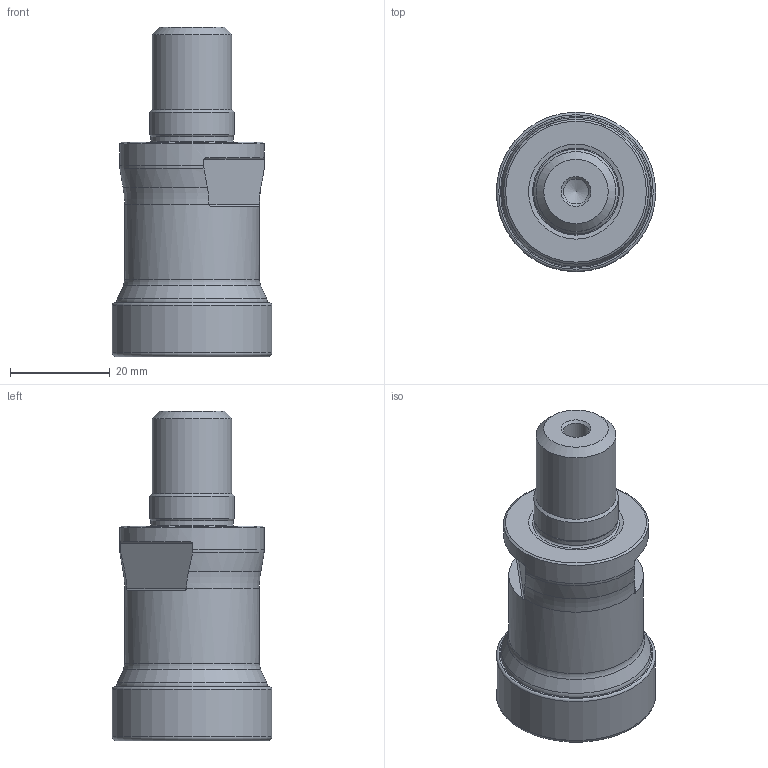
import cadquery as cq
import math

head_radius = 15.965
head_top_z = 10.8
head_bottom_round = 0.8
head_top_round = 0.5

shoulder_radius = 30.23 / 2
shoulder_angle = math.radians(24.5)
shoulder_round = 2.0
shoulder_fillet = 3.0

body_radius = 27.0 / 2
flare_angle = math.radians(10)
flare_start_z = 30.5
flare_fillet = 20.0
flare_round = 3.5

collar_radius = 29.0 / 2
collar_top_z = 43.0
collar_chamfer_width = 0.4
collar_chamfer_height = 0.3

undercut_outer_radius = 9.5
undercut_depth = 0.2
undercut_fillet = 0.4
neck_radius = 16.6 / 2
neck_top_z = 44.1

pilot_radius = 17.0 / 2
pilot_bottom_z = 44.45
pilot_top_z = 48.95
shank_start_z = 49.45
shank_radius = 16.0 / 2
shank_chamfer = 1.55
total_height = 66.0

hole_radius = 5.0 / 2
hole_depth = 12.0
hole_chamfer = 0.5
drill_half_angle = math.radians(65)

across_flats = 22.0
flat_direction = -40.0
flat_bottom_z = 30.05
flat_top_z = 39.85
flat_corner_fillet = 0.4
cutter_size = 60.0


def arc_on_slope(radius, angle):
    """Radial and axial extent of an arc turning from the axis direction to a slope."""
    return radius * (1 - math.cos(angle)), radius * math.sin(angle)


def point_on_arc(center_r, center_z, radius, angle):
    """Point of an arc about the given center, at an angle measured from the outward radial direction."""
    return center_r + radius * math.cos(angle), center_z + radius * math.sin(angle)


def turned_body():
    """Revolve the outer contour around Z."""
    rim_dr, rim_dz = arc_on_slope(shoulder_round, shoulder_angle)
    cone_bottom = (shoulder_radius - rim_dr, head_top_z + rim_dz)
    fillet_dr, fillet_dz = arc_on_slope(shoulder_fillet, shoulder_angle)
    cone_top_r = body_radius + fillet_dr
    cone_height = (cone_bottom[0] - cone_top_r) / math.tan(shoulder_angle)
    cone_top = (cone_top_r, cone_bottom[1] + cone_height)
    body_start_z = cone_top[1] + fillet_dz
    rim_middle = point_on_arc(
        shoulder_radius - shoulder_round, head_top_z, shoulder_round, shoulder_angle / 2
    )
    shoulder_fillet_middle = point_on_arc(
        body_radius + shoulder_fillet, body_start_z, shoulder_fillet, math.pi + shoulder_angle / 2
    )

    flare_dr, flare_dz = arc_on_slope(flare_fillet, flare_angle)
    flare_bottom = (body_radius + flare_dr, flare_start_z + flare_dz)
    edge_dr, edge_dz = arc_on_slope(flare_round, flare_angle)
    flare_top_r = collar_radius - edge_dr
    flare_height = (flare_top_r - flare_bottom[0]) / math.tan(flare_angle)
    flare_top = (flare_top_r, flare_bottom[1] + flare_height)
    collar_start_z = flare_top[1] + edge_dz
    flare_fillet_middle = point_on_arc(
        body_radius + flare_fillet, flare_start_z, flare_fillet, math.pi - flare_angle / 2
    )
    flare_round_middle = point_on_arc(
        collar_radius - flare_round, collar_start_z, flare_round, -flare_angle / 2
    )

    eighth_turn = math.pi / 4
    bottom_round_middle = point_on_arc(
        head_radius - head_bottom_round, head_bottom_round, head_bottom_round, -eighth_turn
    )
    top_round_start_z = head_top_z - head_top_round
    top_round_middle = point_on_arc(
        head_radius - head_top_round, top_round_start_z, head_top_round, eighth_turn
    )
    undercut_z = collar_top_z - undercut_depth
    undercut_inner_r = neck_radius + undercut_fillet
    neck_start_z = undercut_z + undercut_fillet
    undercut_middle = point_on_arc(
        undercut_inner_r, neck_start_z, undercut_fillet, math.pi + eighth_turn
    )

    contour = (
        cq.Workplane("XZ")
        .moveTo(0, 0)
        .lineTo(head_radius - head_bottom_round, 0)
        .threePointArc(bottom_round_middle, (head_radius, head_bottom_round))
        .lineTo(head_radius, top_round_start_z)
        .threePointArc(top_round_middle, (head_radius - head_top_round, head_top_z))
        .lineTo(shoulder_radius, head_top_z)
        .threePointArc(rim_middle, cone_bottom)
        .lineTo(*cone_top)
        .threePointArc(shoulder_fillet_middle, (body_radius, body_start_z))
        .lineTo(body_radius, flare_start_z)
        .threePointArc(flare_fillet_middle, flare_bottom)
        .lineTo(*flare_top)
        .threePointArc(flare_round_middle, (collar_radius, collar_start_z))
        .lineTo(collar_radius, collar_top_z - collar_chamfer_height)
        .lineTo(collar_radius - collar_chamfer_width, collar_top_z)
        .lineTo(undercut_outer_radius, collar_top_z)
        .lineTo(undercut_inner_r, undercut_z)
        .threePointArc(undercut_middle, (neck_radius, neck_start_z))
        .lineTo(neck_radius, neck_top_z)
        .lineTo(pilot_radius, pilot_bottom_z)
        .lineTo(pilot_radius, pilot_top_z)
        .lineTo(shank_radius, shank_start_z)
        .lineTo(shank_radius, total_height - shank_chamfer)
        .lineTo(shank_radius - shank_chamfer, total_height)
        .lineTo(0, total_height)
        .close()
    )
    return contour.revolve(360, (0, 0, 0), (0, 1, 0))


def center_hole():
    """Blind drilled hole with a chamfered mouth and a conical bottom."""
    floor_z = total_height - hole_depth
    tip_z = floor_z - hole_radius / math.tan(drill_half_angle)
    section = (
        cq.Workplane("XZ")
        .moveTo(0, total_height)
        .lineTo(hole_radius + hole_chamfer, total_height)
        .lineTo(hole_radius, total_height - hole_chamfer)
        .lineTo(hole_radius, floor_z)
        .lineTo(0, tip_z)
        .close()
    )
    return section.revolve(360, (0, 0, 0), (0, 1, 0))


def flat_cutter(direction):
    """Block that mills one wrench flat, with rounded edges along the flat."""
    block = (
        cq.Workplane("XY")
        .box(cutter_size, cutter_size, flat_top_z - flat_bottom_z, centered=(False, True, False))
        .faces("<X")
        .edges("|Y")
        .fillet(flat_corner_fillet)
    )
    placed = block.translate((across_flats / 2, 0, flat_bottom_z))
    return placed.rotate((0, 0, 0), (0, 0, 1), direction)


result = turned_body().cut(center_hole())
for side_angle in (0, 180):
    result = result.cut(flat_cutter(flat_direction + side_angle))